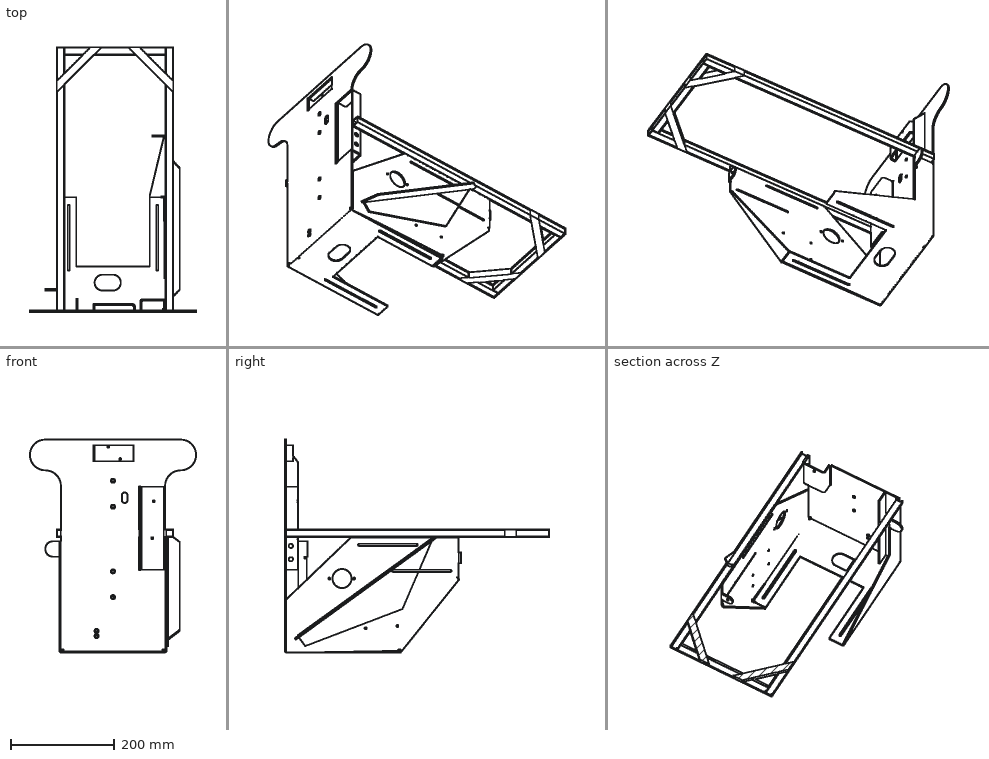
import cadquery as cq
import math

sheet = 3.0
bend = 5.0
strip_bend = 6.0
bend_leg = 7.0
corner_relief = 4.0
relief_inset = 6.5
relief_height = 4.5
plate_half = 101.0
wall_x = plate_half + sheet
height = 413.0
wall_setback = 2.5

arm_half = 161.0
arm_radius = (arm_half - plate_half) / 2

floor_end = 222.5
floor_gap_half = 71.0
floor_gap_start = 88.0
floor_slot = (127.0, 3.5)
floor_slot_x = 85.5
floor_slot_y = 143.5
floor_opening = (50.5, 30.5)
floor_opening_at = (-10.5, 57.0)

left_wall_top = 216.0
left_wall_depth = 43.0
left_wall_notch = 85.0

right_wall_top = 223.0
right_wall_end = 337.0
right_wall_brow = 128.0
right_wall_chin = 100.0
right_wall_corner = 2.5
slope_foot = (224.5, 0.0)
slope_head = (338.5, 142.0)
wall_slot = (115.0, 3.5)
wall_slots = [(200.0, 209.0), (265.5, 158.5)]
big_hole = 36.5
big_hole_at = (111.5, 143.5)
small_hole = 3.4
wall_holes = [(135.0, 143.5), (86.5, 143.5), (218.5, 91.0), (157.0, 96.5), (218.5, 52.0), (157.0, 47.0)]

left_tab_reach = 30.5
left_tab_back = 44.5
tab_relief = 3.0
left_tab_height = 30.5
right_tab_reach = 27.5
right_tab_back = 342.0
right_tab_height = 21.0
right_tab_z = 183.5

screw_hole = 5.0
screw_head = 8.0
screws = [(0, 333.0), (0, 282.5), (0, 157.5), (0, 107.5), (-32.0, 42.0), (-32.0, 32.5)]
plate_slot = (20.0, 10.5)
plate_slot_at = (22.5, 300.0)
top_window = (-37.5, 39.5, 370.5, 402.0)
side_window = (51.0, plate_half, 160.5, 321.5)

top_bracket = (-38.5, 43.0)
top_bracket_bends = (3.5, 7.5)
top_bracket_depth = 16.5
top_bracket_holes = [(-9.0, 398.5), (14.0, 375.0)]
side_bracket_depth = 25.0
side_bracket_holes = [(79.0, 293.5), (76.0, 221.5)]
side_bracket_cross_hole = 8.0
side_bracket_cross_holes = [(12.5, 181.0), (12.5, 206.5)]

rib_x = -71.5
rib_depth = 26.0
rib_top = 399.5
rib_shoulder = 369.0

tube = 15.5
tube_wall = 1.5
frame_left = -109.5
frame_right = 117.0
frame_bottom = 223.5
frame_end = 513.0
side_bracket = (53.0, frame_right - tube)
brace_inner = 87.5

shelf_reach = 129.5
shelf_root = wall_x + sheet
shelf_low = (43.0, 44.5)
shelf_high = (277.5, 214.5)
shelf_chamfer = 1.3
gusset = [(25.0, 33.5), (40.0, 13.0), (228.5, 84.5), (288.5, 223.5)]


def box(x0, x1, y0, y1, z0, z1):
    return cq.Workplane("XY").box(x1 - x0, y1 - y0, z1 - z0, centered=False).translate((x0, y0, z0))


def side_plate(points, x0, thickness=sheet):
    """Plate lying in the YZ plane, from x0 towards +X."""
    return cq.Workplane("YZ", origin=(x0, 0, 0)).polyline(points).close().extrude(thickness)


def drill_y(points, diameter, depth):
    """Round cutters along Y, starting at the front face."""
    return cq.Workplane("XZ").pushPoints(points).circle(diameter / 2).extrude(-depth)


def front_plate():
    """Plate with the arms of its head blended into the body by equal arcs."""
    neck = height - 2 * arm_radius
    arm_x = arm_half - arm_radius
    turn = arm_radius * math.sqrt(0.5)
    plate = (
        cq.Workplane("XZ")
        .moveTo(-plate_half, 0)
        .lineTo(plate_half, 0)
        .lineTo(plate_half, neck - arm_radius)
        .threePointArc((arm_x - turn, neck - arm_radius + turn), (arm_x, neck))
        .threePointArc((arm_half, neck + arm_radius), (arm_x, height))
        .lineTo(-arm_x, height)
        .threePointArc((-arm_half, neck + arm_radius), (-arm_x, neck))
        .threePointArc((turn - arm_x, neck - arm_radius + turn), (-plate_half, neck - arm_radius))
        .close()
        .extrude(-sheet)
    )
    for x0, x1, z0, z1 in (top_window, side_window):
        plate = plate.cut(box(x0, x1, 0, sheet, z0, z1))
    slot = cq.Workplane("XZ").center(*plate_slot_at).slot2D(*plate_slot, angle=90).extrude(-sheet)
    return plate.cut(slot)


def screw_cutters():
    cone_depth = (screw_head - screw_hole) / 2
    cones = (
        cq.Workplane("XZ").pushPoints(screws).circle(screw_head / 2).extrude(-cone_depth, taper=45)
    )
    return cones.union(drill_y(screws, screw_hole, sheet))


def tray():
    """Floor and both side walls, bent from one sheet."""
    outer = box(-wall_x, wall_x, 0, right_wall_end, 0, right_wall_top).edges("|Y and <Z").fillet(bend)
    inner = box(-plate_half, plate_half, 0, right_wall_end, sheet, right_wall_top)
    inner = inner.edges("|Y and <Z").fillet(bend - sheet)
    body = outer.cut(inner)
    for x0 in (-wall_x, plate_half):
        body = body.cut(box(x0, x0 + sheet, 0, wall_setback, 0, right_wall_top))
    floor_profile = [(0, 0), (floor_end, 0), (floor_end, bend), (0, bend)]
    tab_notch = left_wall_top - left_tab_height - tab_relief
    left_profile = [
        (0, 0),
        (floor_end, 0),
        (floor_end, bend),
        (left_wall_depth, left_wall_notch),
        (left_wall_depth, tab_notch),
        (left_tab_back - strip_bend, tab_notch),
        (left_tab_back - strip_bend, left_wall_top),
        (0, left_wall_top),
    ]
    right_profile = [
        (0, 0),
        inset(slope_foot),
        inset(slope_head),
        (right_wall_end, inset(slope_head)[1]),
        (right_wall_end, right_wall_top),
        (right_wall_brow, right_wall_top),
        (0, right_wall_chin),
    ]
    bend_start = wall_x - bend
    keep = side_plate(left_profile, -wall_x, bend)
    keep = keep.union(side_plate(floor_profile, -bend_start, 2 * bend_start))
    right_keep = side_plate(right_profile, bend_start, bend)
    upper_corner = cq.selectors.NearestToPointSelector((wall_x, right_wall_end, right_wall_top))
    right_keep = right_keep.edges("|X").edges(upper_corner).fillet(right_wall_corner)
    return body.intersect(keep.union(right_keep))


def floor_cutters():
    gap = box(-floor_gap_half, floor_gap_half, floor_gap_start, floor_end, 0, sheet)
    slots = (
        cq.Workplane("XY")
        .pushPoints([(-floor_slot_x, floor_slot_y), (floor_slot_x, floor_slot_y)])
        .slot2D(*floor_slot, angle=90)
        .extrude(sheet)
    )
    opening = cq.Workplane("XY").center(*floor_opening_at).slot2D(*floor_opening).extrude(sheet)
    return gap.union(slots).union(opening)


def right_wall_cutters():
    face = cq.Workplane("YZ", origin=(plate_half, 0, 0))
    cutters = face.pushPoints(wall_slots).slot2D(*wall_slot).extrude(sheet)
    cutters = cutters.union(face.pushPoints([big_hole_at]).circle(big_hole / 2).extrude(sheet))
    return cutters.union(face.pushPoints(wall_holes).circle(small_hole / 2).extrude(sheet))


def slope(low, high):
    """Unit vector (y, z) from low to high."""
    length = math.dist(low, high)
    return (high[0] - low[0]) / length, (high[1] - low[1]) / length


def inset(point):
    """Point of the slanted wall edge moved into the wall by the bend radius."""
    run, rise = slope(slope_foot, slope_head)
    return point[0] - rise * strip_bend, point[1] + run * strip_bend


def slope_plane(x, low, high, x_dir):
    """Plane whose second axis climbs from low to high, both (y, z)."""
    run, rise = slope(low, high)
    return cq.Plane(origin=(x, *low), xDir=(x_dir, 0, 0), normal=(0, -x_dir * rise, x_dir * run))


def bent_strip(plane, reach, length):
    """L strip: one leg runs along the plane's first axis, the short leg along the second.

    The plane's origin is the outer corner of the bend and its normal the bend line.
    """
    outer = cq.Workplane(plane).rect(reach, bend_leg, centered=False).extrude(length)
    corner = cq.Workplane(plane).rect(strip_bend, strip_bend, centered=False).extrude(length)
    round_part = cq.Workplane(plane).center(strip_bend, strip_bend).circle(strip_bend).extrude(length)
    inner = (
        cq.Workplane(plane)
        .moveTo(reach, sheet)
        .lineTo(strip_bend, sheet)
        .radiusArc((sheet, strip_bend), strip_bend - sheet)
        .lineTo(sheet, bend_leg)
        .lineTo(reach, bend_leg)
        .close()
        .extrude(length)
    )
    return outer.cut(corner.cut(round_part)).cut(inner)


def rear_flange():
    """Triangular flange bent inwards along the slanted edge of the right wall."""
    length = math.dist(slope_foot, slope_head)
    run, rise = slope(slope_foot, slope_head)
    reach = wall_x - floor_gap_half
    bend_plane = cq.Plane(origin=(wall_x, *slope_foot), xDir=(-1, 0, 0), normal=(0, run, rise))
    outline = [(0, 0), (reach, 0), (strip_bend, length), (0, length)]
    face_plane = slope_plane(wall_x, slope_foot, slope_head, -1)
    keep = cq.Workplane(face_plane).polyline(outline).close().extrude(-bend_leg)
    return bent_strip(bend_plane, reach, length).intersect(keep)


def shelf():
    """Sloping board with chamfered ends, kept below the frame, and its gusset."""
    length = math.dist(shelf_low, shelf_high)
    reach = shelf_reach - shelf_root
    chamfer = shelf_chamfer * reach
    outline = [(0, -chamfer), (reach, 0), (reach, length), (0, length + chamfer)]
    plane = slope_plane(shelf_root, shelf_low, shelf_high, 1)
    board = cq.Workplane(plane).polyline(outline).close().extrude(-sheet)
    below_frame = box(shelf_root, shelf_reach, 0, frame_end, 0, frame_bottom)
    slots = cq.Workplane("YZ", origin=(wall_x, 0, 0)).pushPoints(wall_slots).slot2D(*wall_slot).extrude(sheet)
    return board.intersect(below_frame).union(side_plate(gusset, wall_x).cut(slots))


def tab(corner, reach, tab_height):
    """Round-ended tab along -X, bent out of a wall; corner is the outer corner of the bend at mid height."""
    radius = tab_height / 2
    x, y, z = corner
    plane = cq.Plane(origin=(x, y, z - radius), xDir=(-1, 0, 0), normal=(0, 0, 1))
    strip = bent_strip(plane, reach, tab_height)
    tip = x - reach
    middle = tip + radius
    outline = (
        cq.Workplane("XZ", origin=(0, y, z))
        .moveTo(x, -radius)
        .lineTo(middle, -radius)
        .threePointArc((tip, 0), (middle, radius))
        .lineTo(x, radius)
        .close()
        .extrude(bend_leg)
    )
    return strip.intersect(outline)


def left_tab():
    corner = (-plate_half, left_tab_back, left_wall_top - left_tab_height / 2)
    return tab(corner, left_tab_reach, left_tab_height)


def right_tab():
    body = tab((wall_x, right_tab_back, right_tab_z), right_tab_reach, right_tab_height)
    hole_x = wall_x - right_tab_reach + right_tab_height / 2
    hole = drill_y([(hole_x, right_tab_z)], small_hole, right_tab_back)
    return body.cut(hole)


def channel(x_faces, depth, z_range, bends=(bend, bend)):
    """U channel open towards the plate."""
    x0, x1 = x_faces
    outer = box(x0, x1, sheet, depth, *z_range)
    inner = box(x0 + sheet, x1 - sheet, sheet, depth - sheet, *z_range)
    for side, radius in zip("<>", bends):
        edge = f"|Z and >Y and {side}X"
        outer = outer.edges(edge).fillet(radius)
        inner = inner.edges(edge).fillet(radius - sheet)
    return outer.cut(inner)


def brackets():
    """Channels behind the two windows of the front plate."""
    top = channel(top_bracket, top_bracket_depth, top_window[2:], top_bracket_bends)
    top = top.cut(drill_y(top_bracket_holes, small_hole, top_bracket_depth))
    side = channel(side_bracket, side_bracket_depth, side_window[2:])
    side = side.cut(drill_y(side_bracket_holes, small_hole, side_bracket_depth))
    inner_face = cq.Workplane("YZ", origin=(side_bracket[1] - sheet, 0, 0))
    cross_holes = inner_face.pushPoints(side_bracket_cross_holes).circle(side_bracket_cross_hole / 2)
    return top.union(side.cut(cross_holes.extrude(sheet)))


def rib():
    return side_plate([(sheet, 0), (rib_depth, 0), (rib_depth, rib_shoulder), (sheet, rib_top)], rib_x)


def frame():
    """Square tube frame with a diagonal brace in each far corner."""
    z0 = frame_bottom
    z1 = z0 + tube
    w = tube_wall
    left = frame_left + tube
    right = frame_right - tube
    body = box(left, right, frame_end - tube, frame_end, z0, z1)
    body = body.cut(box(left, right, frame_end - tube + w, frame_end - w, z0 + w, z1 - w))
    for x0 in (frame_left, right):
        rail = box(x0, x0 + tube, sheet, frame_end, z0, z1)
        body = body.union(rail.cut(box(x0 + w, x0 + tube - w, sheet, frame_end - w, z0 + w, z1 - w)))
    outer = brace_inner - tube * math.sqrt(2)
    for corner, way in ((frame_left, 1), (frame_right, -1)):
        points = [
            (corner, frame_end - outer),
            (corner, frame_end - brace_inner),
            (corner + way * brace_inner, frame_end),
            (corner + way * outer, frame_end),
        ]
        body = body.union(cq.Workplane("XY", origin=(0, 0, z0)).polyline(points).close().extrude(tube))
    return body


def front_rounding():
    """Everything outside the bend between the plate and the floor."""
    corner = box(-wall_x, wall_x, 0, bend, 0, bend)
    return corner.cut(
        cq.Workplane("YZ", origin=(-wall_x, 0, 0)).center(bend, bend).circle(bend).extrude(2 * wall_x)
    )


def corner_reliefs():
    """Holes along Y at the front corners and along X at the foot of the slanted edge."""
    front_x = wall_x - relief_inset
    front = drill_y([(-front_x, relief_height), (front_x, relief_height)], corner_relief, relief_inset)
    rear = cq.Workplane("YZ", origin=(wall_x - 2 * bend, 0, 0)).center(floor_end, relief_height)
    return front.union(rear.circle(corner_relief / 2).extrude(2 * bend))


result = (
    tray()
    .cut(floor_cutters())
    .cut(right_wall_cutters())
    .union(rear_flange())
    .union(front_plate())
    .cut(screw_cutters())
    .cut(front_rounding())
    .cut(corner_reliefs())
    .union(left_tab())
    .union(right_tab())
    .union(brackets())
    .union(rib())
    .union(frame())
    .union(shelf())
)